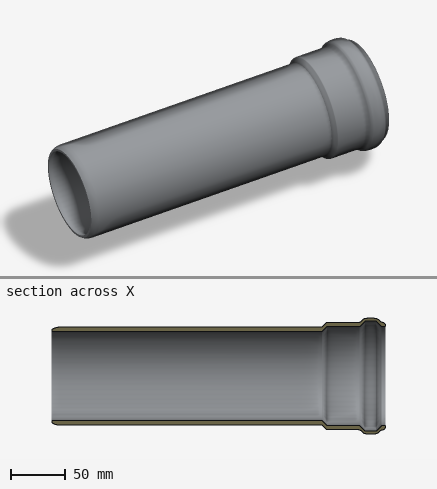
import cadquery as cq
import math

total_length = 306.0
pipe_diameter = 90.3
bore_diameter = 81.3

spigot_lead_length = 7.0
spigot_tip_diameter = 85.7

socket_diameter = 98.7
socket_bore_diameter = 90.5
socket_depth = 53.7
shoulder_slope = math.radians(45)
shoulder_round = 1.2

bulge_diameter = 107.1
bulge_start = 8.75
bulge_length = 10.15
crown_radius = 26.0
groove_diameter = 100.3
groove_bevel_slope = math.radians(45)

blend_radius = 4.6
rim_root_diameter = 99.4
rim_root_slope = math.radians(11.5)

pipe_radius = pipe_diameter / 2
bore_radius = bore_diameter / 2
socket_radius = socket_diameter / 2
socket_bore_radius = socket_bore_diameter / 2
rim_root_radius = rim_root_diameter / 2
bulge_radius = bulge_diameter / 2
groove_radius = groove_diameter / 2
bulge_end = bulge_start + bulge_length
bulge_middle = bulge_start + bulge_length / 2
crown_edge_slope = math.asin(bulge_length / 2 / crown_radius)
crown_edge_radius = bulge_radius - crown_radius * (1 - math.cos(crown_edge_slope))


def at(radius, depth):
    """Profile point at a radius and a depth behind the socket mouth."""
    return (radius, total_length - depth)


def arc_run(radius, slope_1, slope_2):
    """Radial and axial run of an arc between two slopes to the pipe axis."""
    radial = radius * abs(math.cos(slope_1) - math.cos(slope_2))
    axial = radius * abs(math.sin(slope_1) - math.sin(slope_2))
    return radial, axial


def bulge_blend(end_radius, end_slope):
    """Radial and axial runs of the convex and concave arcs falling from the crown edge."""
    drop = crown_edge_radius - end_radius
    mean_cosine = (math.cos(crown_edge_slope) + math.cos(end_slope)) / 2
    steepest_slope = math.acos(mean_cosine - drop / (2 * blend_radius))
    convex = arc_run(blend_radius, crown_edge_slope, steepest_slope)
    concave = arc_run(blend_radius, steepest_slope, end_slope)
    return convex, concave


def make_outside():
    """Solid of revolution inside the outer surface, drawn from spigot to mouth."""
    round_drop, round_length = arc_run(shoulder_round, 0, shoulder_slope)
    shoulder_top_radius = socket_radius - round_drop
    shoulder_top = socket_depth + round_length
    shoulder_foot = shoulder_top + (shoulder_top_radius - pipe_radius) / math.tan(shoulder_slope)

    neck_convex, neck_concave = bulge_blend(socket_radius, 0)
    neck_middle = bulge_end + neck_convex[1]
    neck_foot = neck_middle + neck_concave[1]

    mouth_convex, mouth_concave = bulge_blend(rim_root_radius, rim_root_slope)
    mouth_middle = bulge_start - mouth_convex[1]
    rim_root = mouth_middle - mouth_concave[1]
    rim_tip_slope = math.asin(math.sin(rim_root_slope) + rim_root / blend_radius)
    rim_drop = arc_run(blend_radius, rim_root_slope, rim_tip_slope)[0]

    lead_drop = pipe_radius - spigot_tip_diameter / 2
    lead_radius = (lead_drop**2 + spigot_lead_length**2) / (2 * lead_drop)
    lead_middle_slope = math.asin(spigot_lead_length / lead_radius) / 2
    lead_middle_drop, lead_middle_run = arc_run(lead_radius, 0, lead_middle_slope)
    lead_middle = (pipe_radius - lead_middle_drop, spigot_lead_length - lead_middle_run)

    profile = (
        cq.Workplane("XY")
        .lineTo(spigot_tip_diameter / 2, 0)
        .threePointArc(lead_middle, (pipe_radius, spigot_lead_length))
        .lineTo(*at(pipe_radius, shoulder_foot))
        .lineTo(*at(shoulder_top_radius, shoulder_top))
        .tangentArcPoint(at(socket_radius, socket_depth), relative=False)
        .lineTo(*at(socket_radius, neck_foot))
        .tangentArcPoint(at(socket_radius + neck_concave[0], neck_middle), relative=False)
        .tangentArcPoint(at(crown_edge_radius, bulge_end), relative=False)
        .threePointArc(at(bulge_radius, bulge_middle), at(crown_edge_radius, bulge_start))
        .tangentArcPoint(at(crown_edge_radius - mouth_convex[0], mouth_middle), relative=False)
        .tangentArcPoint(at(rim_root_radius, rim_root), relative=False)
        .tangentArcPoint(at(rim_root_radius - rim_drop, 0), relative=False)
        .lineTo(*at(0, 0))
        .close()
    )
    return profile.revolve(360, (0, 0), (0, 1))


def make_inside():
    """Cavity: socket bore with its seal groove, a cone, and the pipe bore."""
    bevel_length = (groove_radius - socket_bore_radius) / math.tan(groove_bevel_slope)
    cone_length = (socket_bore_radius - bore_radius) / math.tan(shoulder_slope)
    profile = (
        cq.Workplane("XY")
        .lineTo(bore_radius, 0)
        .lineTo(*at(bore_radius, socket_depth + cone_length))
        .lineTo(*at(socket_bore_radius, socket_depth))
        .lineTo(*at(socket_bore_radius, bulge_end + bevel_length))
        .lineTo(*at(groove_radius, bulge_end))
        .lineTo(*at(groove_radius, bulge_start))
        .lineTo(*at(socket_bore_radius, bulge_start - bevel_length))
        .lineTo(*at(socket_bore_radius, 0))
        .lineTo(*at(0, 0))
        .close()
    )
    return profile.revolve(360, (0, 0), (0, 1))


result = make_outside().cut(make_inside())